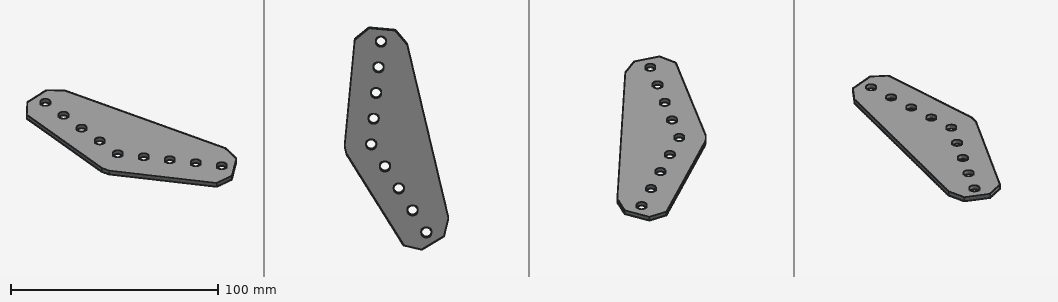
import cadquery as cq
import math

overall_length = 106.2
thickness = 2.5
hole_diameter = 5.0
end_margin = 6.1
facet_setback = 2.1
pitches_per_arm = 4
bend_angle = math.atan2(3, 4)

cos_bend = math.cos(bend_angle)
sin_bend = math.sin(bend_angle)
hole_pitch = (overall_length - end_margin * (1 + cos_bend)) / (
    pitches_per_arm * (1 + cos_bend) + sin_bend / 2
)
half_width = hole_pitch
chamfer = half_width / 2
arm_length = pitches_per_arm * hole_pitch


def on_level_arm(along, across):
    """Point at a distance from the bend hole out along the level arm (-X)."""
    return (-along, across)


def on_inclined_arm(along, across):
    """Point at a distance from the bend hole out along the inclined arm."""
    return (
        along * cos_bend - across * sin_bend,
        along * sin_bend + across * cos_bend,
    )


def end_corners(place):
    """Chamfered end of an arm, from its lower edge to its upper edge."""
    end = arm_length + end_margin
    shoulder = end - chamfer
    end_half_width = half_width - chamfer
    return [
        place(shoulder, -half_width),
        place(end, -end_half_width),
        place(end, end_half_width),
        place(shoulder, half_width),
    ]


corner_reach = half_width * math.tan(bend_angle / 2)
bend_facet = [
    (corner_reach - facet_setback, -half_width),
    on_inclined_arm(facet_setback - corner_reach, -half_width),
]
outline = bend_facet + end_corners(on_inclined_arm) + end_corners(on_level_arm)[::-1]
plate = cq.Workplane("XY").polyline(outline).close().extrude(thickness)

hole_centres = [(0, 0)]
for step in range(1, pitches_per_arm + 1):
    hole_centres.append(on_level_arm(step * hole_pitch, 0))
    hole_centres.append(on_inclined_arm(step * hole_pitch, 0))

result = plate.faces(">Z").workplane(origin=(0, 0, 0)).pushPoints(hole_centres).hole(hole_diameter)